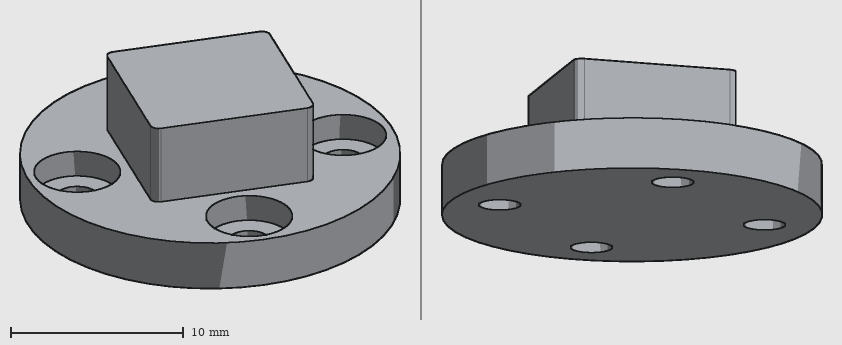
import cadquery as cq

flange_diameter = 22.0
flange_thickness = 3.0

total_height = 7.8
block_side = 9.8
block_corner_radius = 0.48
block_height = total_height - flange_thickness

hole_count = 4
hole_circle_radius = 8.0
hole_diameter = 2.42
counterbore_diameter = 5.0
counterbore_depth = 1.6


def make_flange():
    """Disc with its bottom face on Z = 0 and evenly spaced counterbored holes."""
    disc = cq.Workplane("XY").circle(flange_diameter / 2).extrude(flange_thickness)
    return (
        disc.faces(">Z")
        .workplane()
        .polarArray(hole_circle_radius, 0, 360, hole_count)
        .cboreHole(hole_diameter, counterbore_diameter, counterbore_depth)
    )


def make_block():
    """Centred square block with rounded vertical edges."""
    return (
        cq.Workplane("XY", origin=(0, 0, flange_thickness))
        .rect(block_side, block_side)
        .extrude(block_height)
        .edges("|Z")
        .fillet(block_corner_radius)
    )


result = make_flange().union(make_block())